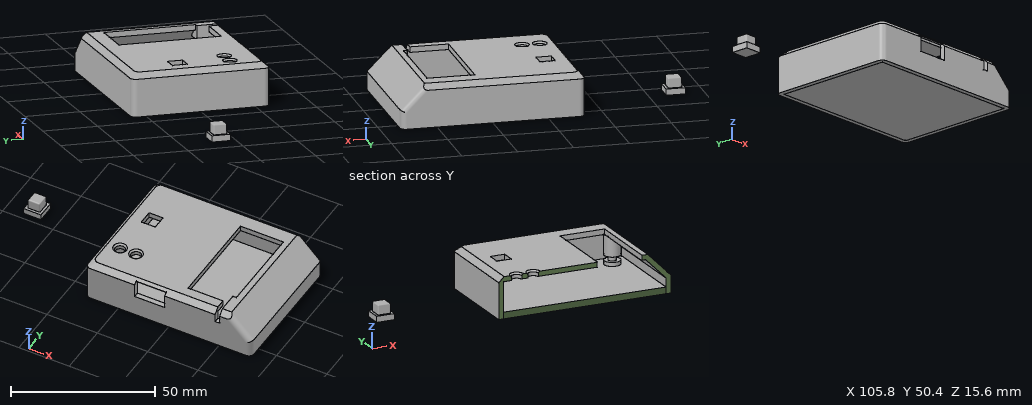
import cadquery as cq
import math

CASE_LENGTH = 66.0
CASE_WIDTH = 50.4
CASE_HEIGHT = 15.6
WALL = 2.0
TOP_CHAMFER = 2.0
CORNER_RADIUS = 2.1
BEVEL = 8.9

WINDOW_LEFT = 37.7
WINDOW_RIGHT = 54.8
WINDOW_BACK = 17.7
WINDOW_FRONT = -19.6
SLOT_LEFT = 51.6
SLOT_RIGHT = 53.4
SLOT_BACK = -15.8
SLOT_FLOOR = 10.5

BUTTON_HOLE_SIZE = 5.5
BUTTON_HOLE_X = 9.4
BUTTON_Y = 5.6
LIGHT_HOLE_DIAMETER = 3.8
LIGHT_HOLE_CHAMFER = 0.6
LIGHT_HOLES_X = (6.9, 13.2)
LIGHT_HOLES_Y = -12.7
SIDE_OPENING_LEFT = 19.7
SIDE_OPENING_LENGTH = 12.0
SIDE_OPENING_FLOOR = 8.4
SIDE_OPENING_HEIGHT = 6.2

POST_X = 57.5
POST_Y = 17.2
POST_DIAMETER = 6.0
POST_BOTTOM = 6.0
PIN_DIAMETER = 3.0
PIN_HOLE_DIAMETER = 3.2
PIN_ENTRY = 1.1

BASE_THICKNESS = 2.6
BOSS_HEIGHT = 1.5

BUTTON_X = -36.3
BUTTON_BOTTOM = 0.2
BUTTON_FLANGE_SIZE = 7.0
BUTTON_FLANGE_HEIGHT = 2.3
BUTTON_CAP_SIZE = 5.0
BUTTON_HEIGHT = 6.0
BUTTON_ROUNDING = 0.5

HALF_WIDTH = CASE_WIDTH / 2
ROOF_BOTTOM = CASE_HEIGHT - WALL
BOSS_TOP = BASE_THICKNESS + BOSS_HEIGHT
PIN_TOP = POST_BOTTOM + PIN_ENTRY


def block(x_start, x_end, y_start, y_end, z_start, z_end):
    """Box between two opposite corners."""
    size = (x_end - x_start, y_end - y_start, z_end - z_start)
    return cq.Workplane("XY").box(*size, centered=False).translate((x_start, y_start, z_start))


def cylinder(x, y, z_start, z_end, diameter):
    """Upright cylinder."""
    return cq.Workplane(origin=(x, y, z_start)).circle(diameter / 2).extrude(z_end - z_start)


def rounded_outline(z, inset):
    """Rounded rectangle at height z, inset on three sides and running on past the +X end of the case."""
    length = 2 * CASE_LENGTH
    width = CASE_WIDTH - 2 * inset
    flat = cq.Sketch().rect(length, width).vertices().fillet(CORNER_RADIUS)
    return flat.moved(cq.Location(cq.Vector(inset + length / 2, 0, z)))


def case_exterior():
    """Box with a rounded, bevelled +X end, and its other top edges chamfered."""
    body = block(0, CASE_LENGTH, -HALF_WIDTH, HALF_WIDTH, 0, CASE_HEIGHT)
    body = body.edges(">X and >Z").chamfer(BEVEL)
    body = body.faces(">X or (not (|X or |Y or |Z))").edges("not |Y").fillet(CORNER_RADIUS)
    chamfer_start = CASE_HEIGHT - TOP_CHAMFER
    lower = cq.Workplane("XY").placeSketch(rounded_outline(0, 0)).extrude(chamfer_start)
    upper = cq.Workplane("XY").placeSketch(
        rounded_outline(chamfer_start, 0),
        rounded_outline(CASE_HEIGHT, TOP_CHAMFER),
    ).loft(ruled=True)
    return body.intersect(lower.union(upper))


def case_cavity():
    """Inner space, one wall thickness inside the exterior and open at the bottom."""
    inner_half = HALF_WIDTH - WALL
    inner_bevel = BEVEL - (2 - math.sqrt(2)) * WALL
    cavity = block(WALL, CASE_LENGTH - WALL, -inner_half, inner_half, 0, ROOF_BOTTOM)
    return cavity.edges(">X and >Z").chamfer(inner_bevel)


def window_and_slot():
    """Window through the roof, and the slot that also notches the -Y wall."""
    main = block(WINDOW_LEFT, WINDOW_RIGHT, SLOT_BACK, WINDOW_BACK, ROOF_BOTTOM, CASE_HEIGHT)
    front = block(WINDOW_LEFT, SLOT_RIGHT, WINDOW_FRONT, SLOT_BACK, ROOF_BOTTOM, CASE_HEIGHT)
    slot = block(SLOT_LEFT, SLOT_RIGHT, -HALF_WIDTH, SLOT_BACK, SLOT_FLOOR, CASE_HEIGHT)
    return main.union(front).union(slot)


def button_hole():
    """Square hole through the roof."""
    half = BUTTON_HOLE_SIZE / 2
    return block(
        BUTTON_HOLE_X - half, BUTTON_HOLE_X + half,
        BUTTON_Y - half, BUTTON_Y + half,
        ROOF_BOTTOM, CASE_HEIGHT,
    )


def light_hole(x):
    """Round hole through the roof, countersunk at 45 degrees from the top."""
    hole = cylinder(x, LIGHT_HOLES_Y, ROOF_BOTTOM, CASE_HEIGHT, LIGHT_HOLE_DIAMETER)
    radius = LIGHT_HOLE_DIAMETER / 2
    countersink = cq.Solid.makeCone(
        radius, radius + LIGHT_HOLE_CHAMFER, LIGHT_HOLE_CHAMFER,
        pnt=cq.Vector(x, LIGHT_HOLES_Y, CASE_HEIGHT - LIGHT_HOLE_CHAMFER),
    )
    return hole.union(cq.Workplane(countersink))


def side_opening():
    """Opening through the -Y wall that reaches up into the chamfer."""
    return block(
        SIDE_OPENING_LEFT, SIDE_OPENING_LEFT + SIDE_OPENING_LENGTH,
        -HALF_WIDTH, -HALF_WIDTH + WALL,
        SIDE_OPENING_FLOOR, SIDE_OPENING_FLOOR + SIDE_OPENING_HEIGHT,
    )


def post():
    """Post that hangs from the roof."""
    return cylinder(POST_X, POST_Y, POST_BOTTOM, ROOF_BOTTOM, POST_DIAMETER)


def pin_hole():
    """Hole in the lower end of the post."""
    return cylinder(POST_X, POST_Y, POST_BOTTOM, PIN_TOP, PIN_HOLE_DIAMETER)


def make_case():
    """Hollow case with its post, the solid corner beside the slot, and all openings."""
    exterior = case_exterior()
    slot_corner = block(SLOT_RIGHT, CASE_LENGTH, -HALF_WIDTH, SLOT_BACK, SLOT_FLOOR, CASE_HEIGHT)
    inner_parts = post().union(slot_corner).intersect(exterior)
    case = exterior.cut(case_cavity()).union(inner_parts)
    case = case.cut(window_and_slot()).cut(button_hole()).cut(side_opening()).cut(pin_hole())
    for x in LIGHT_HOLES_X:
        case = case.cut(light_hole(x))
    return case


def make_base():
    """Plate that fills the open bottom of the case, with a boss and pin under the post."""
    inner_half = HALF_WIDTH - WALL
    plate = block(WALL, CASE_LENGTH - WALL, -inner_half, inner_half, 0, BASE_THICKNESS)
    boss = cylinder(POST_X, POST_Y, BASE_THICKNESS, BOSS_TOP, POST_DIAMETER)
    pin = cylinder(POST_X, POST_Y, BOSS_TOP, PIN_TOP, PIN_DIAMETER)
    return plate.union(boss).union(pin)


def make_button():
    """Square flange under a smaller square cap with rounded edges."""
    cap = cq.Workplane("XY").rect(BUTTON_CAP_SIZE, BUTTON_CAP_SIZE).extrude(BUTTON_HEIGHT)
    cap = cap.edges("|Z or >Z").fillet(BUTTON_ROUNDING)
    flange = cq.Workplane("XY").rect(BUTTON_FLANGE_SIZE, BUTTON_FLANGE_SIZE).extrude(BUTTON_FLANGE_HEIGHT)
    return flange.union(cap).translate((BUTTON_X, BUTTON_Y, BUTTON_BOTTOM))


case = make_case()
base = make_base()
button = make_button()

result = cq.Compound.makeCompound([case.val(), base.val(), button.val()])